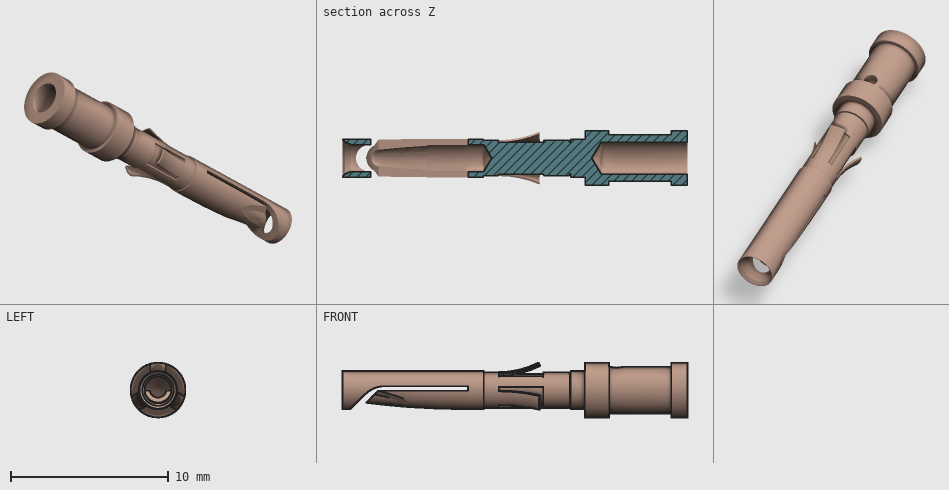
import math

import cadquery as cq

SLOT_END_X = 8.0
SOCKET_END_X = 9.0
SLEEVE_END_X = 14.48
NECK_START_X = 14.55
COLLAR_START_X = 15.45
COLLAR_END_X = 17.0
END_FLANGE_X = 20.95
LENGTH = 22.0

SOCKET_R = 2.45 / 2
SLEEVE_R = 2.3 / 2
FLANGE_R = 3.5 / 2
BARREL_R = 3.0 / 2

SLEEVE_WALL = 0.12
CORE_R = SLEEVE_R - SLEEVE_WALL
TINE_COUNT = 3
TINE_LIFT = 0.01
TINE_START_X = 9.95
TINE_WIDTH = 1.0
TINE_TIP_X = 12.5
TINE_RISE = FLANGE_R - SLEEVE_R
WINDOW_END_X = 12.8
WINDOW_ANGLE = 81.0

BORE_R = 0.85
BORE_DEPTH = SOCKET_END_X
LEAD_IN_R = 1.0
MOUTH_R = 1.18
LEAD_IN_DEPTH = 0.18
FLARE_DEPTH = 0.55
DRILL_POINT_ANGLE = 118.0

SLOT_TOP_Z = 0.24
TONGUE_TOP_Z = -0.03
RAMP_FOOT_X = 0.5
RAMP_FILLET = 1.77
TONGUE_TIP_X = 2.3
TONGUE_BEND_R = 51.0
TONGUE_BEND_ANGLE = 9.0

STEP_TOP_X = 2.5
STEP_FOOT_X = 5.6
STEP_FOOT_Z = -0.74
STEP_LEAN_ANGLE = 40.0
TIP_ROOT_X = 5.4
TIP_INSET = 0.02

WIRE_BORE_R = 1.0
WIRE_BORE_END_X = 16.5
INSPECTION_HOLE_R = 0.43
INSPECTION_HOLE_X = 17.48

CLEARANCE = 1.0


def cylinder(radius, start_x, end_x):
    return cq.Workplane("YZ", origin=(start_x, 0, 0)).circle(radius).extrude(end_x - start_x)


def drill_point_length(radius):
    return radius / math.tan(math.radians(DRILL_POINT_ANGLE / 2))


def turned_body():
    outline = [
        (0, 0),
        (0, SOCKET_R),
        (SOCKET_END_X, SOCKET_R),
        (SOCKET_END_X, SLEEVE_R),
        (SLEEVE_END_X, SLEEVE_R),
        (SLEEVE_END_X, CORE_R),
        (NECK_START_X, CORE_R),
        (NECK_START_X, SOCKET_R),
        (COLLAR_START_X, SOCKET_R),
        (COLLAR_START_X, FLANGE_R),
        (COLLAR_END_X, FLANGE_R),
        (COLLAR_END_X, BARREL_R),
        (END_FLANGE_X, BARREL_R),
        (END_FLANGE_X, FLANGE_R),
        (LENGTH, FLANGE_R),
        (LENGTH, 0),
    ]
    return cq.Workplane("XY").polyline(outline).close().revolve(360, (0, 0, 0), (1, 0, 0))


def socket_bore():
    outline = [
        (0, 0),
        (0, MOUTH_R),
        (LEAD_IN_DEPTH, LEAD_IN_R),
        (FLARE_DEPTH, BORE_R),
        (BORE_DEPTH, BORE_R),
        (BORE_DEPTH + drill_point_length(BORE_R), 0),
    ]
    return cq.Workplane("XY").polyline(outline).close().revolve(360, (0, 0, 0), (1, 0, 0))


def tongue_space():
    """Everything removed from the socket below the slot, including the room for the tongue."""
    half_width = SOCKET_R + CLEARANCE
    floor_z = -half_width
    ramp_bottom_x = RAMP_FOOT_X + SOCKET_R + floor_z
    ramp_top_x = RAMP_FOOT_X + SOCKET_R + SLOT_TOP_Z
    half_turn = math.radians(45 / 2)
    tangent_length = RAMP_FILLET * math.tan(half_turn)
    diagonal_step = tangent_length * math.sqrt(0.5)
    arc_end = (ramp_top_x + tangent_length, SLOT_TOP_Z)
    arc_middle = (
        arc_end[0] - RAMP_FILLET * math.sin(half_turn),
        SLOT_TOP_Z - RAMP_FILLET * (1 - math.cos(half_turn)),
    )
    return (
        cq.Workplane("XZ", origin=(0, half_width, 0))
        .moveTo(ramp_bottom_x, floor_z)
        .lineTo(ramp_top_x - diagonal_step, SLOT_TOP_Z - diagonal_step)
        .threePointArc(arc_middle, arc_end)
        .lineTo(SLOT_END_X, SLOT_TOP_Z)
        .lineTo(SLOT_END_X, floor_z)
        .close()
        .extrude(2 * half_width)
    )


def tongue_envelope():
    """The space below the tongue's flat top and behind its 45 degree tip."""
    half_width = SOCKET_R + CLEARANCE
    floor_z = -half_width
    outline = [
        (TONGUE_TIP_X, TONGUE_TOP_Z),
        (SLOT_END_X, TONGUE_TOP_Z),
        (SLOT_END_X, floor_z),
        (TONGUE_TIP_X + floor_z - TONGUE_TOP_Z, floor_z),
    ]
    return cq.Workplane("XZ", origin=(0, half_width, 0)).polyline(outline).close().extrude(2 * half_width)


def bent_half_tube():
    """The lower half of the socket wall, curled upward ahead of the slot end."""
    pivot_z = TONGUE_BEND_R - SOCKET_R
    return (
        cq.Workplane("YZ", origin=(SLOT_END_X, 0, 0))
        .moveTo(-SOCKET_R, 0)
        .threePointArc((0, -SOCKET_R), (SOCKET_R, 0))
        .lineTo(BORE_R, 0)
        .threePointArc((0, -BORE_R), (-BORE_R, 0))
        .close()
        .revolve(TONGUE_BEND_ANGLE, (0, pivot_z, 0), (1, pivot_z, 0))
    )


def tapered_tip():
    """A round wall that closes in evenly around the axis, rising with the bent half tube."""

    def rise(x):
        return TONGUE_BEND_R - math.sqrt(TONGUE_BEND_R**2 - (SLOT_END_X - x) ** 2)

    def wall_point(radius, x):
        return (x, rise(x) - radius)

    outer_r = SOCKET_R - TIP_INSET
    middle_x = TIP_ROOT_X / 2
    return (
        cq.Workplane("XZ")
        .moveTo(*wall_point(outer_r, TIP_ROOT_X))
        .threePointArc(wall_point(outer_r, middle_x), wall_point(outer_r, 0))
        .lineTo(*wall_point(BORE_R, 0))
        .threePointArc(wall_point(BORE_R, middle_x), wall_point(BORE_R, TIP_ROOT_X))
        .close()
        .revolve(360, (0, 0, 0), (1, 0, 0))
    )


def tip_narrowing(side):
    """A leaning block that trims one flank of the bent half tube near its tip."""
    slope = math.degrees(math.atan2(TONGUE_TOP_Z - STEP_FOOT_Z, STEP_FOOT_X - STEP_TOP_X))
    size = 4 * SOCKET_R
    block = cq.Workplane("XY").box(2 * size, 2 * size, size, centered=(True, True, False))
    block = block.translate((0, 0, -size))
    block = block.rotate((0, 0, 0), (1, 0, 0), side * STEP_LEAN_ANGLE)
    block = block.rotate((0, 0, 0), (0, 1, 0), slope)
    return block.translate((STEP_TOP_X, side * SOCKET_R, TONGUE_TOP_Z))


def contact_tongue():
    full_width = bent_half_tube()
    for side in (-1, 1):
        full_width = full_width.cut(tip_narrowing(side))
    return full_width.union(tapered_tip()).intersect(tongue_envelope())


def turned_about_axis(shape, index):
    return shape.rotate((0, 0, 0), (1, 0, 0), index * 360 / TINE_COUNT)


def window():
    """A sector cut out of the sleeve wall, with its two long sides pointing at the axis."""
    reach = SLEEVE_R + CLEARANCE
    half_spread = reach * math.tan(math.radians(WINDOW_ANGLE / 2))
    sector = (
        cq.Workplane("YZ", origin=(TINE_START_X, 0, 0))
        .polyline([(0, 0), (-half_spread, reach), (half_spread, reach)])
        .close()
        .extrude(WINDOW_END_X - TINE_START_X)
    )
    return sector.cut(cylinder(CORE_R, SOCKET_END_X, NECK_START_X))


def tine():
    """A strip of the sleeve wall bent outward at a constant radius, just clear of the core."""
    half_width = TINE_WIDTH / 2
    inner_r = CORE_R + TINE_LIFT
    outer_edge_z = math.sqrt(SLEEVE_R**2 - half_width**2)
    inner_edge_z = math.sqrt(inner_r**2 - half_width**2)
    run = TINE_TIP_X - TINE_START_X
    bend_r = (run**2 + TINE_RISE**2) / (2 * TINE_RISE)
    bend_angle = math.degrees(math.asin(run / bend_r))
    pivot_z = SLEEVE_R + bend_r
    return (
        cq.Workplane("YZ", origin=(TINE_START_X, 0, 0))
        .moveTo(-half_width, inner_edge_z)
        .lineTo(-half_width, outer_edge_z)
        .threePointArc((0, SLEEVE_R), (half_width, outer_edge_z))
        .lineTo(half_width, inner_edge_z)
        .threePointArc((0, inner_r), (-half_width, inner_edge_z))
        .close()
        .revolve(bend_angle, (1, pivot_z, 0), (0, pivot_z, 0))
    )


def wire_bore():
    outline = [
        (LENGTH, 0),
        (LENGTH, WIRE_BORE_R),
        (WIRE_BORE_END_X, WIRE_BORE_R),
        (WIRE_BORE_END_X - drill_point_length(WIRE_BORE_R), 0),
    ]
    return cq.Workplane("XY").polyline(outline).close().revolve(360, (0, 0, 0), (1, 0, 0))


def inspection_hole():
    return (
        cq.Workplane("XY", origin=(INSPECTION_HOLE_X, 0, 0))
        .circle(INSPECTION_HOLE_R)
        .extrude(BARREL_R + CLEARANCE)
    )


result = turned_body().cut(socket_bore()).cut(tongue_space()).union(contact_tongue())
for index in range(TINE_COUNT):
    result = result.cut(turned_about_axis(window(), index))
    result = result.union(turned_about_axis(tine(), index))
result = result.cut(wire_bore()).cut(inspection_hole())